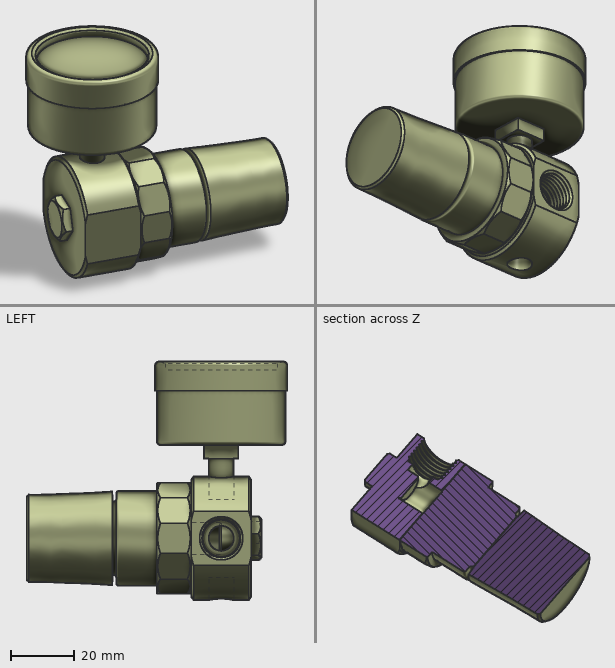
import cadquery as cq
import math

DIAGONAL = math.sqrt(0.5)


BODY_RADIUS = 19.6
BODY_LENGTH = 19.0
BODY_FRONT_Y = -BODY_LENGTH / 2
BODY_REAR_Y = BODY_LENGTH / 2
BODY_CHAMFER_LENGTH = 0.75
BODY_CHAMFER_DEPTH = 1.1
ACROSS_FLATS = 35.2

BORE_RADIUS = 5.1
PLUG_TIP_Y = 0.6
PLUG_TIP_CHAMFER = 0.6
PLUG_HEAD_HEIGHT = 3.3
PLUG_HEX_RADIUS = 7.3
PLUG_HEX_TURN = -12.0
PLUG_FACE_RADIUS = 5.95
PLUG_CHAMFER_LENGTH = 1.0

PORT_MAJOR_RADIUS = 6.9
PORT_MINOR_RADIUS = 6.1
PORT_TAPER = 1 / 32
PORT_PITCH = 1.4
PORT_TURNS = 7
PORT_PASSAGE_RADIUS = 4.0

STEM_RADIUS = 4.0
GAUGE_HOLE_FLOOR = 12.4

NUT_SIDES = 12
NUT_LENGTH = 10.9
NUT_FACE_RADIUS = 17.4
NUT_CHAMFER_LENGTH = 1.15
BONNET_RADIUS = 15.05
BONNET_END_Y = 33.25
BONNET_ROUND = 0.8
NECK_RADIUS = 11.7
NECK_FILLET = 0.9

KNOB_SEAT_Y = 34.3
KNOB_SEAT_RADIUS = 12.2
KNOB_SKIRT_Y = 34.6
KNOB_SKIRT_RADIUS = 14.9
KNOB_BREAK_Y = 50.45
KNOB_BREAK_RADIUS = 14.15
KNOB_END_Y = 61.7
KNOB_END_RADIUS = 13.9
KNOB_CHAMFER = 0.75

GAUGE_TOP_Z = 56.1
BEZEL_RADIUS = 21.0
BEZEL_BOTTOM_Z = 46.7
BEZEL_ROUND = 1.4
LIP_RADIUS = 19.2
DIAL_RADIUS = 17.7
DIAL_RIM_ROUND = 0.3
DIAL_RIM_DEPTH = 0.7
DIAL_DEPTH = 2.65
CASE_RADIUS = 20.4
CASE_BOTTOM_Z = 29.5
CASE_ROUND = 1.3
BLOCK_WIDTH = 10.9
BLOCK_BOTTOM_Z = 25.2


def revolve_about_y(points):
    """Solid of revolution about Y from (radius, y) points."""
    return cq.Workplane("XY").polyline(points).close().revolve(360, (0, 0, 0), (0, 1, 0))


def prism_along_y(sides, corner_radius, turn, start_y, length):
    """Regular prism along +Y; turn is the angle of its first corner from +X towards +Z."""
    corners = []
    for i in range(sides):
        angle = math.radians(turn + 360.0 * i / sides)
        corners.append((corner_radius * math.cos(angle), corner_radius * math.sin(angle)))
    return cq.Workplane("XZ", origin=(0, start_y, 0)).polyline(corners).close().extrude(-length)


def make_plug():
    """Hex head and chamfered shank that close the front half of the body's bore."""
    head_y = BODY_FRONT_Y - PLUG_HEAD_HEIGHT
    head = prism_along_y(6, PLUG_HEX_RADIUS, PLUG_HEX_TURN, head_y, PLUG_HEAD_HEIGHT)
    head_envelope = revolve_about_y([
        (0, head_y),
        (PLUG_FACE_RADIUS, head_y),
        (PLUG_HEX_RADIUS, head_y + PLUG_CHAMFER_LENGTH),
        (PLUG_HEX_RADIUS, BODY_FRONT_Y),
        (0, BODY_FRONT_Y),
    ])
    shank = revolve_about_y([
        (0, BODY_FRONT_Y),
        (BORE_RADIUS, BODY_FRONT_Y),
        (BORE_RADIUS, PLUG_TIP_Y - PLUG_TIP_CHAMFER),
        (BORE_RADIUS - PLUG_TIP_CHAMFER, PLUG_TIP_Y),
        (0, PLUG_TIP_Y),
    ])
    return head.intersect(head_envelope).union(shank)


def make_port_cutter():
    """Tapered thread modelled as V rings, followed by a plain passage into the bore."""
    face_x = -ACROSS_FLATS / 2
    floor_x = face_x + PORT_TURNS * PORT_PITCH
    outline = [(face_x, 0)]
    for turn in range(PORT_TURNS):
        depth = turn * PORT_PITCH
        crest_depth = depth + PORT_PITCH / 2
        outline.append((face_x + depth, PORT_MAJOR_RADIUS - PORT_TAPER * depth))
        outline.append((face_x + crest_depth, PORT_MINOR_RADIUS - PORT_TAPER * crest_depth))
    outline += [
        (floor_x, outline[-1][1]),
        (floor_x, PORT_PASSAGE_RADIUS),
        (0, PORT_PASSAGE_RADIUS),
        (0, 0),
    ]
    return cq.Workplane("XY").polyline(outline).close().revolve(360, (0, 0, 0), (1, 0, 0))


def make_body():
    shoulder_radius = BODY_RADIUS - BODY_CHAMFER_DEPTH
    barrel = revolve_about_y([
        (0, BODY_FRONT_Y),
        (shoulder_radius, BODY_FRONT_Y),
        (BODY_RADIUS, BODY_FRONT_Y + BODY_CHAMFER_LENGTH),
        (BODY_RADIUS, BODY_REAR_Y - BODY_CHAMFER_LENGTH),
        (shoulder_radius, BODY_REAR_Y),
        (0, BODY_REAR_Y),
    ])
    body = barrel.intersect(cq.Workplane("XY").box(ACROSS_FLATS, BODY_LENGTH, 2 * BODY_RADIUS))
    bore = cq.Workplane("XZ", origin=(0, BODY_FRONT_Y, 0)).circle(BORE_RADIUS).extrude(-BODY_LENGTH)
    body = body.cut(bore).cut(make_port_cutter())
    hole_depth = BODY_RADIUS - GAUGE_HOLE_FLOOR
    for floor_z in (GAUGE_HOLE_FLOOR, -BODY_RADIUS):
        hole = cq.Workplane("XY", origin=(0, 0, floor_z)).circle(STEM_RADIUS).extrude(hole_depth)
        body = body.cut(hole)
    return body.union(make_plug())


def make_bonnet():
    nut_end_y = BODY_REAR_Y + NUT_LENGTH
    corner_radius = ACROSS_FLATS / 2 / math.cos(math.pi / NUT_SIDES)
    nut = prism_along_y(NUT_SIDES, corner_radius, 180 / NUT_SIDES, BODY_REAR_Y, NUT_LENGTH)
    nut_envelope = revolve_about_y([
        (0, BODY_REAR_Y),
        (NUT_FACE_RADIUS, BODY_REAR_Y),
        (corner_radius, BODY_REAR_Y + NUT_CHAMFER_LENGTH),
        (corner_radius, nut_end_y - NUT_CHAMFER_LENGTH),
        (NUT_FACE_RADIUS, nut_end_y),
        (0, nut_end_y),
    ])
    shoulder_radius = BONNET_RADIUS - BONNET_ROUND
    round_start_y = BONNET_END_Y - BONNET_ROUND
    barrel = (
        cq.Workplane("XY")
        .moveTo(0, nut_end_y)
        .lineTo(BONNET_RADIUS, nut_end_y)
        .lineTo(BONNET_RADIUS, round_start_y)
        .threePointArc(
            (shoulder_radius + BONNET_ROUND * DIAGONAL, round_start_y + BONNET_ROUND * DIAGONAL),
            (shoulder_radius, BONNET_END_Y),
        )
        .lineTo(NECK_RADIUS + NECK_FILLET, BONNET_END_Y)
        .threePointArc(
            (NECK_RADIUS + NECK_FILLET * (1 - DIAGONAL), BONNET_END_Y + NECK_FILLET * (1 - DIAGONAL)),
            (NECK_RADIUS, BONNET_END_Y + NECK_FILLET),
        )
        .lineTo(NECK_RADIUS, KNOB_SEAT_Y)
        .lineTo(0, KNOB_SEAT_Y)
        .close()
        .revolve(360, (0, 0, 0), (0, 1, 0))
    )
    return nut.intersect(nut_envelope).union(barrel)


def make_knob():
    return revolve_about_y([
        (0, KNOB_SEAT_Y),
        (KNOB_SEAT_RADIUS, KNOB_SEAT_Y),
        (KNOB_SKIRT_RADIUS, KNOB_SKIRT_Y),
        (KNOB_BREAK_RADIUS, KNOB_BREAK_Y),
        (KNOB_END_RADIUS, KNOB_END_Y - KNOB_CHAMFER),
        (KNOB_END_RADIUS - KNOB_CHAMFER, KNOB_END_Y),
        (0, KNOB_END_Y),
    ])


def make_gauge():
    case = cq.Workplane("XY", origin=(0, 0, CASE_BOTTOM_Z)).circle(CASE_RADIUS)
    case = case.extrude(BEZEL_BOTTOM_Z - CASE_BOTTOM_Z).faces("<Z").edges().fillet(CASE_ROUND)
    bezel = cq.Workplane("XY", origin=(0, 0, BEZEL_BOTTOM_Z)).circle(BEZEL_RADIUS)
    bezel = bezel.extrude(GAUGE_TOP_Z - BEZEL_BOTTOM_Z).faces(">Z").edges().fillet(BEZEL_ROUND)
    rim_z = GAUGE_TOP_Z - DIAL_RIM_DEPTH
    dial_z = GAUGE_TOP_Z - DIAL_DEPTH
    dial_recess = (
        cq.Workplane("XZ")
        .moveTo(0, GAUGE_TOP_Z)
        .lineTo(LIP_RADIUS, GAUGE_TOP_Z)
        .lineTo(DIAL_RADIUS + DIAL_RIM_ROUND, rim_z)
        .threePointArc(
            (DIAL_RADIUS + DIAL_RIM_ROUND * (1 - DIAGONAL), rim_z - DIAL_RIM_ROUND * (1 - DIAGONAL)),
            (DIAL_RADIUS, rim_z - DIAL_RIM_ROUND),
        )
        .lineTo(DIAL_RADIUS, dial_z)
        .lineTo(0, dial_z)
        .close()
        .revolve(360, (0, 0, 0), (0, 1, 0))
    )
    block_height = CASE_BOTTOM_Z - BLOCK_BOTTOM_Z
    block = cq.Workplane("XY", origin=(0, 0, BLOCK_BOTTOM_Z)).rect(BLOCK_WIDTH, BLOCK_WIDTH)
    block = block.extrude(block_height)
    stem = cq.Workplane("XY", origin=(0, 0, GAUGE_HOLE_FLOOR)).circle(STEM_RADIUS)
    stem = stem.extrude(BLOCK_BOTTOM_Z - GAUGE_HOLE_FLOOR)
    return case.union(bezel).cut(dial_recess).union(block).union(stem)


body = make_body()
bonnet = make_bonnet()
knob = make_knob()
gauge = make_gauge()
result = cq.Compound.makeCompound([
    body.solids().val(),
    bonnet.solids().val(),
    knob.solids().val(),
    gauge.solids().val(),
])